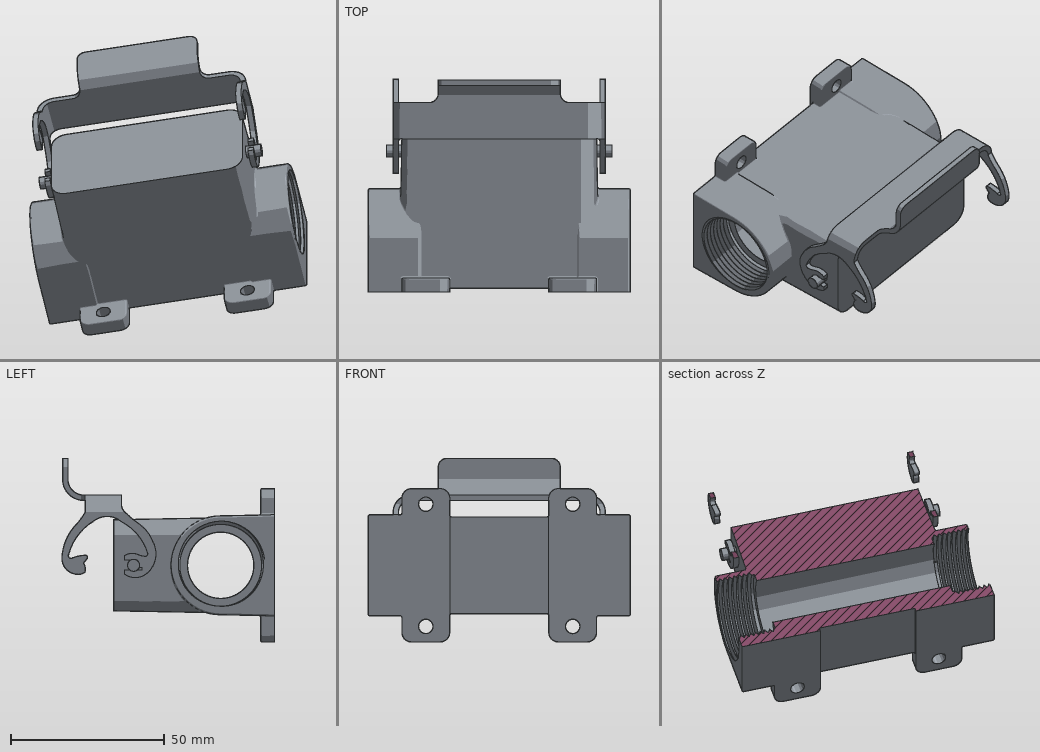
import cadquery as cq
import math

TOTAL_LENGTH = 85.5
HALF_LENGTH = TOTAL_LENGTH / 2

BOX_FRONT_Y = 1.2
BOX_REAR_Y = 52.5
BOX_LENGTH = 63.4
BOX_WIDTH = 29.75
BOX_CORNER_RADIUS = 5.05
DRAFT_ANGLE = 1.05

ENTRY_AXIS_Y = 17.6
ENTRY_RADIUS = 16.2
ENTRY_BASE_HALF_WIDTH = 16.5
ENTRY_INNER_X = 25.65
ENTRY_RIM_FILLET = 0.7
ENTRY_ROOT_FILLET = 0.6
BORE_RADIUS = 10.8

THREAD_CORE_RADIUS = 13.3
THREAD_DEPTH = 1.1
THREAD_PITCH = 1.6
THREAD_GROOVE_WIDTH = 1.59
THREAD_TURNS = 8.3
THREAD_START_ANGLE = 10
THREAD_OVERLAP = 0.01
THREADED_BORE_LENGTH = 12.65

FLANGE_CENTER_X = 23.9
FLANGE_LENGTH = 15.65
FLANGE_WIDTH = 50.0
FLANGE_THICKNESS = 4.6
FLANGE_CORNER_RADIUS = 3.2
FLANGE_EDGE_FILLET = 0.6
FLANGE_ROOT_FILLET = 0.5
MOUNTING_HOLE_DIAMETER = 4.6
MOUNTING_HOLE_SPACING = 39.85

PIVOT_Y = 46.0
PIVOT_RADIUS = 2.0
PIVOT_REACH = 36.8

SHEET = 1.8
LATCH_HALF_LENGTH = 34.6
LATCH_TOP_Z = 22.9
LATCH_BEND_RADIUS = 5.65
BRIDGE_FRONT_Y = 49.9
BRIDGE_REAR_Y = 61.8
ARM_REACH = 12.8
ARM_LOW_Z = -5.1
BEND_END_Z = LATCH_TOP_Z - LATCH_BEND_RADIUS

HANDLE_LENGTH = 39.85
HANDLE_REAR_Y = 69.2
HANDLE_TOP_Z = 34.9
HANDLE_BEND_RADIUS = 6.9
HANDLE_CORNER_RADIUS = 2.9
HANDLE_FLARE_RADIUS = 2.9

SEAT_TOP_Z = 1.7
SEAT_BOTTOM_Z = -1.45
SEAT_RELIEF_Y = 43.3
SEAT_RELIEF_TOP_Z = -0.8
SEAT_MOUTH_Y = 49.6


def mirrored_pair(body):
    """Return the body together with its mirror image across the middle plane X = 0."""
    return body.union(body.mirror("YZ"))


def box_between(low, high):
    """Axis-aligned block between two opposite corners."""
    size = [b - a for a, b in zip(low, high)]
    return cq.Workplane("XY").box(*size, centered=False).translate(low)


def is_behind_base(edge):
    """True for edges clear of the mounting face and of the recessed base of the box."""
    return edge.Center().y > BOX_FRONT_Y + 0.1


def housing_box():
    """Drafted block with rounded corners, widening toward the mounting face."""
    section = (
        cq.Sketch().rect(BOX_LENGTH, BOX_WIDTH).vertices().fillet(BOX_CORNER_RADIUS)
    )
    return (
        cq.Workplane("XZ", origin=(0, BOX_REAR_Y, 0))
        .placeSketch(section)
        .extrude(BOX_REAR_Y - BOX_FRONT_Y, taper=-DRAFT_ANGLE)
    )


def entry_block():
    """D-shaped block of the -X cable entry, with the rims of both ends rounded."""
    block = (
        cq.Workplane("YZ", origin=(-HALF_LENGTH, 0, 0))
        .moveTo(0, -ENTRY_BASE_HALF_WIDTH)
        .lineTo(ENTRY_AXIS_Y, -ENTRY_RADIUS)
        .threePointArc((ENTRY_AXIS_Y + ENTRY_RADIUS, 0), (ENTRY_AXIS_Y, ENTRY_RADIUS))
        .lineTo(0, ENTRY_BASE_HALF_WIDTH)
        .close()
        .extrude(HALF_LENGTH - ENTRY_INNER_X)
    )
    for end in ("<X", ">X"):
        rim = block.faces(end).edges().filter(is_behind_base)
        block = rim.fillet(ENTRY_RIM_FILLET)
    return block


def flange(center_x):
    """Mounting flange with rounded corners and a rounded rear edge."""
    return (
        cq.Workplane("XZ", origin=(center_x, 0, 0))
        .rect(FLANGE_LENGTH, FLANGE_WIDTH)
        .extrude(-FLANGE_THICKNESS)
        .edges("|Y")
        .fillet(FLANGE_CORNER_RADIUS)
        .faces(">Y")
        .edges()
        .fillet(FLANGE_EDGE_FILLET)
    )


def mounting_holes():
    """Two holes through each flange."""
    half_spacing = MOUNTING_HOLE_SPACING / 2
    spots = [(x, z) for x in (-FLANGE_CENTER_X, FLANGE_CENTER_X) for z in (-half_spacing, half_spacing)]
    return (
        cq.Workplane("XZ")
        .pushPoints(spots)
        .circle(MOUNTING_HOLE_DIAMETER / 2)
        .extrude(-FLANGE_THICKNESS)
    )


def pivot_pin():
    """Pin on the -X end of the box."""
    root_x = -BOX_LENGTH / 2 + BOX_CORNER_RADIUS
    return (
        cq.Workplane("YZ", origin=(-PIVOT_REACH, PIVOT_Y, 0))
        .transformed(rotate=(0, 0, 90))
        .circle(PIVOT_RADIUS)
        .extrude(PIVOT_REACH + root_x)
    )


def thread_groove():
    """V-shaped helical groove of the -X cable entry."""
    helix = cq.Wire.makeHelix(THREAD_PITCH, THREAD_PITCH * THREAD_TURNS, THREAD_CORE_RADIUS)
    inner_radius = THREAD_CORE_RADIUS - THREAD_OVERLAP
    return (
        cq.Workplane("XZ")
        .moveTo(inner_radius, -THREAD_GROOVE_WIDTH / 2)
        .lineTo(THREAD_CORE_RADIUS + THREAD_DEPTH, 0)
        .lineTo(inner_radius, THREAD_GROOVE_WIDTH / 2)
        .close()
        .sweep(cq.Workplane(helix), isFrenet=True)
        .rotate((0, 0, 0), (0, 0, 1), 180)
        .rotate((0, 0, 0), (0, 1, 0), 90)
        .rotate((0, 0, 0), (1, 0, 0), THREAD_START_ANGLE)
        .translate((-HALF_LENGTH - THREAD_PITCH, ENTRY_AXIS_Y, 0))
    )


def threaded_core():
    """Plain part of the threaded bore of the -X cable entry."""
    return (
        cq.Workplane("YZ", origin=(-HALF_LENGTH, ENTRY_AXIS_Y, 0))
        .circle(THREAD_CORE_RADIUS)
        .extrude(THREADED_BORE_LENGTH)
    )


def cable_bore():
    """Bore through the whole length that joins both threaded bores."""
    return (
        cq.Workplane("YZ", origin=(-HALF_LENGTH, ENTRY_AXIS_Y, 0))
        .circle(BORE_RADIUS)
        .extrude(TOTAL_LENGTH)
    )


def turned_about_entry_axis(body, angle):
    """Turn a feature of one end about the vertical line through the middle of the entry axis."""
    return body.rotate((0, ENTRY_AXIS_Y, 0), (0, ENTRY_AXIS_Y, 1), angle)


def seam_edges(joined, first, second):
    """Edges of the joined body that lie on the surfaces of both of its parts."""
    shells = [part.val().Shells()[0] for part in (first, second)]

    def on_both(edge):
        middle = cq.Vertex.makeVertex(*edge.positionAt(0.5).toTuple())
        return all(middle.distance(shell) < 0.001 for shell in shells)

    return joined.newObject(joined.edges().filter(on_both).vals())


def build_housing():
    body = housing_box()
    for entry in (entry_block(), entry_block().mirror("YZ")):
        joined = body.union(entry)
        root = seam_edges(joined, body, entry).filter(is_behind_base)
        body = root.fillet(ENTRY_ROOT_FILLET)
    for x in (-FLANGE_CENTER_X, FLANGE_CENTER_X):
        pad = flange(x)
        joined = body.union(pad)
        root = seam_edges(joined, body, pad).filter(is_behind_base)
        body = root.fillet(FLANGE_ROOT_FILLET)
    body = body.union(mirrored_pair(pivot_pin()))
    for turn in (0, 180):
        for cutter in (threaded_core(), thread_groove()):
            body = body.cut(turned_about_entry_axis(cutter, turn))
    return body.cut(cable_bore()).cut(mounting_holes())


def latch_channel():
    """U-shaped channel: the bridge and both arms as one bent sheet."""
    inner_half_length = LATCH_HALF_LENGTH - SHEET
    outer = box_between(
        (-LATCH_HALF_LENGTH, BRIDGE_FRONT_Y - ARM_REACH, ARM_LOW_Z),
        (LATCH_HALF_LENGTH, BRIDGE_REAR_Y + ARM_REACH, LATCH_TOP_Z),
    )
    inner = box_between(
        (-inner_half_length, BRIDGE_FRONT_Y - ARM_REACH, ARM_LOW_Z),
        (inner_half_length, BRIDGE_REAR_Y + ARM_REACH, LATCH_TOP_Z - SHEET),
    )
    outer = outer.edges("|Y and >Z").fillet(LATCH_BEND_RADIUS)
    inner = inner.edges("|Y and >Z").fillet(LATCH_BEND_RADIUS - SHEET)
    return outer.cut(inner)


def arm_outline():
    """Side outline of the latch: bridge, free hook toward +Y, pivot hook toward -Y."""
    return (
        cq.Workplane("YZ", origin=(-LATCH_HALF_LENGTH, 0, 0))
        .moveTo(BRIDGE_FRONT_Y, LATCH_TOP_Z)
        .lineTo(BRIDGE_REAR_Y, LATCH_TOP_Z)
        .lineTo(BRIDGE_REAR_Y, BEND_END_Z)
        .threePointArc((63.5, 14.7), (65.4, 12.6))
        .threePointArc((68.1, 8.3), (69.3, 3.25))
        .threePointArc((68.1, -1.2), (64.2, -3.0))
        .threePointArc((62.8, -2.8), (61.8, -2.2))
        .threePointArc((61.7, -0.7), (62.3, 0.7))
        .lineTo(61.2, 2.05)
        .threePointArc((61.05, 2.8), (61.7, 3.3))
        .threePointArc((63.8, 3.1), (65.8, 2.5))
        .threePointArc((66.95, 2.5), (67.1, 3.6))
        .threePointArc((63.9, 10.1), (58.9, 14.45))
        .threePointArc((54.55, 15.9), (50.1, 14.3))
        .threePointArc((44.3, 9.5), (41.4, 3.85))
        .threePointArc((41.6, 3.2), (42.2, 2.9))
        .threePointArc((43.6, 3.2), (44.8, 3.6))
        .threePointArc((47.0, 3.85), (48.9, 3.2))
        .lineTo(48.9, -2.9)
        .threePointArc((45.4, -4.0), (41.55, -2.6))
        .threePointArc((38.7, 3.1), (39.85, 7.95))
        .threePointArc((41.5, 10.9), (43.7, 13.1))
        .threePointArc((46.3, 15.1), (48.7, BEND_END_Z))
        .threePointArc((49.8, 18.8), (BRIDGE_FRONT_Y, 20.1))
        .close()
        .extrude(2 * LATCH_HALF_LENGTH)
    )


def pin_seat():
    """Cutter for the pin holes of both arms, open toward +Y, with a relief toward -Y."""
    hole = (
        cq.Workplane("YZ", origin=(-LATCH_HALF_LENGTH, PIVOT_Y, 0))
        .circle(PIVOT_RADIUS)
        .extrude(2 * LATCH_HALF_LENGTH)
    )
    mouth = box_between(
        (-LATCH_HALF_LENGTH, PIVOT_Y, SEAT_BOTTOM_Z), (LATCH_HALF_LENGTH, SEAT_MOUTH_Y, SEAT_TOP_Z)
    )
    relief = box_between(
        (-LATCH_HALF_LENGTH, SEAT_RELIEF_Y, SEAT_BOTTOM_Z), (LATCH_HALF_LENGTH, PIVOT_Y, SEAT_RELIEF_TOP_Z)
    )
    return hole.union(mouth).union(relief)


def handle_sheet():
    """Handle sheet curving up from the rear edge of the bridge, as wide as its flared root."""
    bend_y = HANDLE_REAR_Y - HANDLE_BEND_RADIUS
    bend_z = LATCH_TOP_Z - SHEET + HANDLE_BEND_RADIUS
    inner_radius = HANDLE_BEND_RADIUS - SHEET
    half_width = HANDLE_LENGTH / 2 + HANDLE_FLARE_RADIUS
    diagonal = math.sqrt(0.5)
    return (
        cq.Workplane("YZ", origin=(-half_width, 0, 0))
        .moveTo(BRIDGE_REAR_Y, LATCH_TOP_Z - SHEET)
        .lineTo(bend_y, LATCH_TOP_Z - SHEET)
        .threePointArc(
            (bend_y + HANDLE_BEND_RADIUS * diagonal, bend_z - HANDLE_BEND_RADIUS * diagonal),
            (HANDLE_REAR_Y, bend_z),
        )
        .lineTo(HANDLE_REAR_Y, HANDLE_TOP_Z)
        .lineTo(HANDLE_REAR_Y - SHEET, HANDLE_TOP_Z)
        .lineTo(HANDLE_REAR_Y - SHEET, bend_z)
        .threePointArc(
            (bend_y + inner_radius * diagonal, bend_z - inner_radius * diagonal),
            (bend_y, LATCH_TOP_Z),
        )
        .lineTo(BRIDGE_REAR_Y, LATCH_TOP_Z)
        .close()
        .extrude(2 * half_width)
    )


def handle_plan():
    """Plan shape of the handle: a strip that flares out in two arcs where it meets the bridge."""
    half_width = HANDLE_LENGTH / 2
    root_half_width = half_width + HANDLE_FLARE_RADIUS
    flare_end_y = BRIDGE_REAR_Y + HANDLE_FLARE_RADIUS
    return (
        cq.Workplane("XY", origin=(0, 0, LATCH_TOP_Z - SHEET))
        .moveTo(-root_half_width, BRIDGE_REAR_Y)
        .radiusArc((-half_width, flare_end_y), -HANDLE_FLARE_RADIUS)
        .lineTo(-half_width, HANDLE_REAR_Y)
        .lineTo(half_width, HANDLE_REAR_Y)
        .lineTo(half_width, flare_end_y)
        .radiusArc((root_half_width, BRIDGE_REAR_Y), -HANDLE_FLARE_RADIUS)
        .close()
        .extrude(HANDLE_TOP_Z - LATCH_TOP_Z + SHEET)
    )


def build_latch():
    handle = (
        handle_sheet()
        .intersect(handle_plan())
        .edges("|Y and >Z")
        .fillet(HANDLE_CORNER_RADIUS)
    )
    return latch_channel().intersect(arm_outline()).cut(pin_seat()).union(handle)


housing = build_housing()
latch = build_latch()
result = cq.Compound.makeCompound([housing.val(), latch.val()])